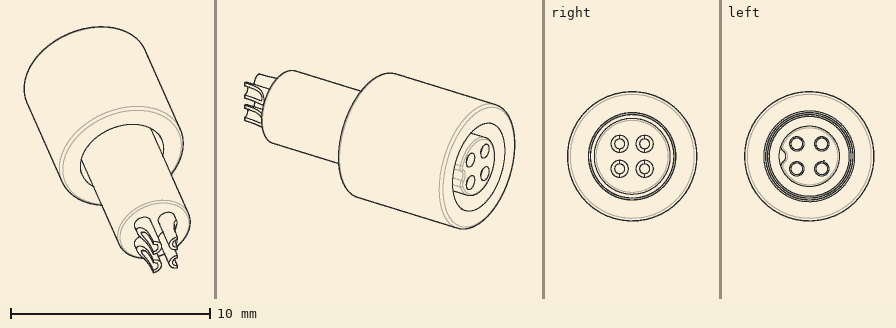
import cadquery as cq
import math


SLEEVE_LENGTH = 6.4
SLEEVE_DIAMETER = 6.5
SLEEVE_RADIUS = SLEEVE_DIAMETER / 2
SLEEVE_FILLET = 0.14
SLEEVE_BORE_RADIUS = 2.28
SLEEVE_LIP_RADIUS = 2.19
SLEEVE_LIP_LENGTH = 2.79

NOSE_FRONT = 0.05
NOSE_RADIUS = 1.52
NOSE_FILLET = 0.08
COLLAR_FRONT = 2.79
COLLAR_RADIUS = 2.1
COLLAR_LENGTH = 0.84
COLLAR_FILLET = 0.08
SHANK_RADIUS = 1.91
SHANK_REAR = 12.04
SHANK_FILLET = 0.1

KEYWAY_RADIUS = 0.33
KEYWAY_EDGE_FILLET = 0.28

RING_SECTION_DIAMETER = 0.49
RING_SECTION_RADIUS = RING_SECTION_DIAMETER / 2

CONTACT_REAR = 13.93
CONTACT_RADIUS = 0.43
CONTACT_OFFSET = 0.63
CONTACT_RECESS = 0.42
CONTACT_FRONT = NOSE_FRONT + CONTACT_RECESS
ENTRY_RADIUS = 0.36
SOCKET_RADIUS = 0.29
SOCKET_DEPTH = 2.79

CUP_RADIUS = 0.25
CUP_DEPTH = 1.49

CONTACT_AXES = [(y, z) for y in (-CONTACT_OFFSET, CONTACT_OFFSET) for z in (-CONTACT_OFFSET, CONTACT_OFFSET)]


def cylinder(start, end, radius, y=0.0, z=0.0):
    """Cylinder along X from start to end, with its axis at (y, z)."""
    return cq.Workplane("YZ", origin=(start, y, z)).circle(radius).extrude(end - start)


def make_sleeve():
    """Outer sleeve with rounded rims and a bore that narrows to a lip at the rear."""
    lip_front = SLEEVE_LENGTH - SLEEVE_LIP_LENGTH
    sleeve = cylinder(0, SLEEVE_LENGTH, SLEEVE_RADIUS).edges().fillet(SLEEVE_FILLET)
    bore = cylinder(0, lip_front, SLEEVE_BORE_RADIUS)
    lip_bore = cylinder(lip_front, SLEEVE_LENGTH, SLEEVE_LIP_RADIUS)
    return sleeve.cut(bore).cut(lip_bore)


def make_nose():
    """Front nose with a round-edged keyway and a rounded front rim."""
    nose = cylinder(NOSE_FRONT, COLLAR_FRONT, NOSE_RADIUS)
    nose = nose.cut(cylinder(NOSE_FRONT, COLLAR_FRONT, KEYWAY_RADIUS, y=NOSE_RADIUS))

    keyway_edge_y = NOSE_RADIUS - KEYWAY_RADIUS**2 / (2 * NOSE_RADIUS)
    keyway_edge_z = math.sqrt(NOSE_RADIUS**2 - keyway_edge_y**2)
    middle_x = (NOSE_FRONT + COLLAR_FRONT) / 2
    for side in (-1, 1):
        edge_point = cq.selectors.NearestToPointSelector((middle_x, keyway_edge_y, side * keyway_edge_z))
        nose = nose.edges(edge_point).fillet(KEYWAY_EDGE_FILLET)

    return nose.faces("<X").edges().fillet(NOSE_FILLET)


def make_insulator():
    """Nose, collar and shank in one piece, with a stepped passage for each contact."""
    collar_rear = COLLAR_FRONT + COLLAR_LENGTH
    collar = cylinder(COLLAR_FRONT, collar_rear, COLLAR_RADIUS).faces("<X").edges().fillet(COLLAR_FILLET)
    shank = cylinder(collar_rear, SHANK_REAR, SHANK_RADIUS).faces(">X").edges().fillet(SHANK_FILLET)
    insulator = make_nose().union(collar).union(shank)
    for y, z in CONTACT_AXES:
        insulator = insulator.cut(cylinder(NOSE_FRONT, CONTACT_FRONT, ENTRY_RADIUS, y, z))
        insulator = insulator.cut(cylinder(CONTACT_FRONT, SHANK_REAR, CONTACT_RADIUS, y, z))
    return insulator


def make_sealing_ring():
    """O-ring around the nose, touching the nose and the collar face."""
    centre_x = COLLAR_FRONT - RING_SECTION_RADIUS
    centre_radius = NOSE_RADIUS + RING_SECTION_RADIUS
    section = cq.Workplane("XY").center(centre_x, centre_radius).circle(RING_SECTION_RADIUS)
    return section.revolve(360, (-centre_x, -centre_radius, 0), (0.14 - centre_x, -centre_radius, 0))


def make_scoop(y, z):
    """Cutter that opens the solder cup outward, levelling out at the contact axis."""
    surface_y = y + math.copysign(CONTACT_RADIUS, y)
    scoop_front = CONTACT_REAR - CUP_DEPTH

    control_spacing = CUP_DEPTH / 3
    scoop_curve = [
        (scoop_front, surface_y),
        (scoop_front + control_spacing, y),
        (scoop_front + 2 * control_spacing, y),
        (CONTACT_REAR, y),
    ]
    return (
        cq.Workplane("XY", origin=(0, 0, z - CONTACT_RADIUS))
        .bezier(scoop_curve)
        .lineTo(CONTACT_REAR, surface_y)
        .close()
        .extrude(2 * CONTACT_RADIUS)
    )


def make_contact(y, z):
    """Contact with a socket at the front and a scooped solder cup at the rear."""
    contact = cylinder(CONTACT_FRONT, CONTACT_REAR, CONTACT_RADIUS, y, z)
    socket = cylinder(CONTACT_FRONT, CONTACT_FRONT + SOCKET_DEPTH, SOCKET_RADIUS, y, z)
    cup = cylinder(CONTACT_REAR - CUP_DEPTH, CONTACT_REAR, CUP_RADIUS, y, z)
    return contact.cut(socket).cut(cup).cut(make_scoop(y, z))


sleeve = make_sleeve()
insulator = make_insulator()
sealing_ring = make_sealing_ring()
contacts = [make_contact(y, z) for y, z in CONTACT_AXES]

result = cq.Compound.makeCompound(
    [sleeve.val(), insulator.val(), sealing_ring.val(), *[contact.val() for contact in contacts]]
)